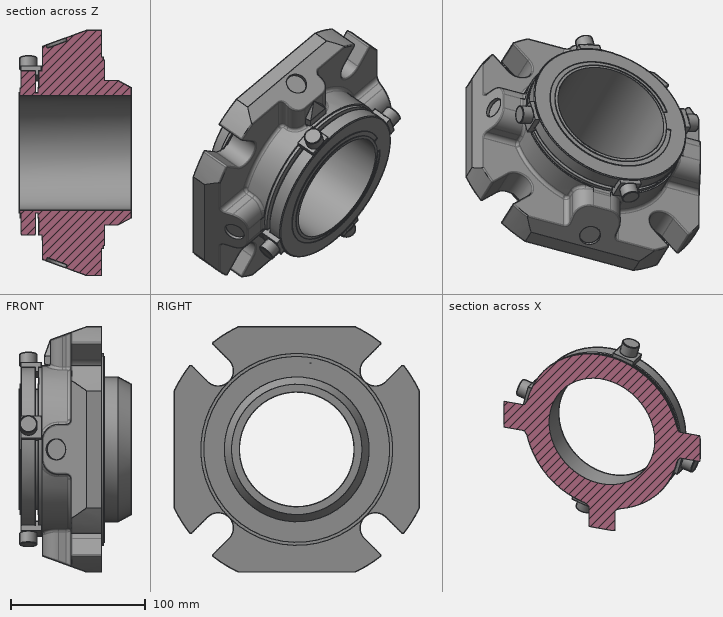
import cadquery as cq
import math


tolerance = 0.05
cut_overrun = 1.0
half_diagonal = math.sqrt(0.5)

total_length = 83.46
flange_size = 182.12
half_flange = flange_size / 2

bore_diameter = 84.99
sleeve_diameter = 89.53
snap_ring_diameter = 96.83
snap_ring_x = 0.6
snap_gap_angle = 20.0

collar_diameter = 122.17
collar_front_x = 1.3
collar_back_x = 12.4
collar_chamfer = 0.7

screw_count = 4
screw_tilt = 15.0
block_width = 17.0
block_inner = 57.5
block_outer = 64.6
block_back_x = 16.6
screw_diameter = 13.0
screw_x = 6.95
screw_end = 73.2
screw_chamfer = 0.5

neck_front_x = 14.0
neck_diameter = snap_ring_diameter
lip_front_x = 14.6
lip_diameter = collar_diameter
gland_front_x = 17.0
gland_diameter = 124.6
gland_root_radius = 2.4

flange_front_x = 38.5
flange_back_x = 61.4
flange_turned_diameter = 201.8
taper_start_x = 50.0
taper_angle = 20.0
slot_circle_diameter = 165.0
slot_width = 22.4
slot_tip_min_offset = 60.0
slot_angles = (45, 135, 225, 315)
slot_tip_radius = 1.1

boss_half_width = 18.6
boss_root_radius = 3.5
boss_front_x = 17.4
boss_corner_radius = 11.8
marked_boss_front_x = 23.2
marked_boss_corner_radius = 9.0
boss_inner = 50.0
side_boss_angles = (90, 180, 270)
rim_radius = 0.9
toe_start_radius = 63.7
toe_end_radius = 65.3

port_diameter = 15.5
port_depth = 2.5
side_port_x = 27.4
vertical_port_x = 40.5
ports = ((vertical_port_x, 0), (side_port_x, 90), (vertical_port_x, 180), (side_port_x, 270))

pointer_half_width = 9.3
pointer_base_z = 62.3
pointer_shoulder_z = 69.4
pointer_tip_z = 81.2
pointer_front_x = 18.8
pointer_draft = 12.0

register_diameter = 142.52
register_back_x = 62.7
gasket_diameter = 138.0
gasket_back_x = 63.6
spigot_diameter = 107.57
spigot_taper_x = 73.5
spigot_end_diameter = snap_ring_diameter


def disc(diameter, start_x, end_x):
    """Cylinder about the X axis."""
    return cq.Workplane("YZ").workplane(offset=start_x).circle(diameter / 2).extrude(end_x - start_x)


def turn(solid, angle):
    """Rotate about the X axis; a positive angle carries +Z towards -Y."""
    return solid.rotate((0, 0, 0), (1, 0, 0), angle)


def taper_height(x):
    """Distance of a tapered side face from the axis at the given X."""
    return half_flange - (taper_start_x - x) * math.tan(math.radians(taper_angle))


def envelope():
    """Square block with tapered sides, turned down at its corners."""
    front = taper_height(0)
    side = (
        cq.Workplane("XZ")
        .polyline([
            (0, -front), (taper_start_x, -half_flange), (flange_back_x, -half_flange),
            (flange_back_x, half_flange), (taper_start_x, half_flange), (0, front),
        ])
        .close()
        .extrude(half_flange, both=True)
    )
    turned = disc(flange_turned_diameter, 0, flange_back_x)
    return side.intersect(turn(side, 90)).intersect(turned)


def boss(front_x, corner_radius):
    """Boss standing on +Z with rounded front corners and filleted roots."""
    corner_x = front_x + corner_radius
    flat = boss_half_width - corner_radius
    corner_mid = (corner_x - corner_radius * half_diagonal, flat + corner_radius * half_diagonal)
    root_x = flange_front_x - boss_root_radius
    root_y = boss_half_width + boss_root_radius
    root_mid = (root_x + boss_root_radius * half_diagonal, root_y - boss_root_radius * half_diagonal)
    return (
        cq.Workplane("XY")
        .workplane(offset=boss_inner)
        .moveTo(front_x, -flat)
        .lineTo(front_x, flat)
        .threePointArc(corner_mid, (corner_x, boss_half_width))
        .lineTo(root_x, boss_half_width)
        .threePointArc(root_mid, (flange_front_x, root_y))
        .lineTo(taper_start_x, root_y)
        .lineTo(taper_start_x, -root_y)
        .lineTo(flange_front_x, -root_y)
        .threePointArc((root_mid[0], -root_mid[1]), (root_x, -boss_half_width))
        .lineTo(corner_x, -boss_half_width)
        .threePointArc((corner_mid[0], -corner_mid[1]), (front_x, -flat))
        .close()
        .extrude(half_flange - boss_inner)
    )


def slot_cutter(angle):
    """Open bolt slot running outwards on a diagonal."""
    centre = slot_circle_diameter / 2
    length = flange_turned_diameter / 2
    round_end = (
        cq.Workplane("YZ").workplane(offset=flange_front_x - cut_overrun)
        .center(0, centre).circle(slot_width / 2).extrude(flange_back_x)
    )
    straight = (
        cq.Workplane("YZ").workplane(offset=flange_front_x - cut_overrun)
        .center(0, centre + length / 2).rect(slot_width, length).extrude(flange_back_x)
    )
    return turn(round_end.union(straight), angle)


def is_slot_tip(edge):
    """True for the sharp corners where the slots run out of the flange rim."""
    centre = edge.Center()
    return min(abs(centre.y), abs(centre.z)) > slot_tip_min_offset


def is_front_rim(edge):
    """True for the outer edges of the bosses and of the flange front face."""
    centre = edge.Center()
    near = min(abs(centre.y), abs(centre.z))
    far = max(abs(centre.y), abs(centre.z))
    on_taper = abs(far - taper_height(centre.x)) < tolerance
    on_front = abs(centre.x - flange_front_x) < tolerance
    beside_boss = near < boss_half_width + boss_root_radius + tolerance
    return (on_taper and centre.x < flange_front_x) or (on_front and not beside_boss)


def flange():
    """Slotted flange with its four bosses, edges rounded."""
    plate_diameter = 2 * flange_size
    body = disc(plate_diameter, flange_front_x, flange_back_x)
    body = body.union(boss(marked_boss_front_x, marked_boss_corner_radius))
    for angle in side_boss_angles:
        body = body.union(turn(boss(boss_front_x, boss_corner_radius), angle))
    body = body.intersect(envelope())
    for angle in slot_angles:
        body = body.cut(slot_cutter(angle))
    tips = [edge for edge in body.edges("|X").vals() if is_slot_tip(edge)]
    body = body.newObject(tips).fillet(slot_tip_radius)
    rim = [edge for edge in body.edges().vals() if is_front_rim(edge)]
    return body.newObject(rim).fillet(rim_radius)


def port(x, angle):
    """Shallow round port square to a tapered face."""
    slope = math.radians(taper_angle)
    plane = cq.Plane(
        origin=(x, 0, taper_height(x)), xDir=(0, 1, 0), normal=(-math.sin(slope), 0, math.cos(slope))
    )
    cutter = cq.Workplane(plane).circle(port_diameter / 2).extrude(port_depth, both=True)
    return turn(cutter, angle)


def is_gland_root(edge):
    """True where the gland barrel meets the boss walls and the flange face."""
    start, end = edge.startPoint(), edge.endPoint()
    on_barrel = all(
        abs(math.hypot(point.y, point.z) - gland_diameter / 2) < tolerance for point in (start, end)
    )
    return on_barrel and abs(edge.Center().x - flange_front_x) < tolerance


def gland_and_flange():
    """Flange with the gland barrel blended into the bosses and the flange face."""
    body = flange().union(disc(gland_diameter, gland_front_x, taper_start_x))
    roots = [edge for edge in body.edges("%CIRCLE").vals() if is_gland_root(edge)]
    return body.newObject(roots).fillet(gland_root_radius)


def boss_toe(angle):
    """Small ramp from the gland face up to the flat front of a boss."""
    ramp = (
        cq.Workplane("XZ")
        .polyline([
            (gland_front_x, boss_inner), (gland_front_x, toe_start_radius),
            (boss_front_x, toe_end_radius), (flange_front_x, toe_end_radius),
            (flange_front_x, boss_inner),
        ])
        .close()
        .extrude(boss_half_width - boss_corner_radius, both=True)
    )
    return turn(ramp, angle)


def pointer():
    """House-shaped drafted pointer whose upper face leans back to the boss."""
    house = (
        cq.Workplane("YZ").workplane(offset=marked_boss_front_x)
        .polyline([
            (-pointer_half_width, pointer_base_z), (-pointer_half_width, pointer_shoulder_z),
            (0, pointer_tip_z), (pointer_half_width, pointer_shoulder_z),
            (pointer_half_width, pointer_base_z),
        ])
        .close()
        .extrude(pointer_front_x - marked_boss_front_x, taper=pointer_draft)
    )
    lean = (
        cq.Workplane("XZ")
        .polyline([
            (pointer_front_x, pointer_shoulder_z), (pointer_front_x, pointer_tip_z),
            (marked_boss_front_x, pointer_tip_z),
        ])
        .close()
        .extrude(pointer_half_width, both=True)
    )
    return house.cut(lean)


def snap_ring():
    """Flat split ring on the sleeve in front of the collar."""
    ring = disc(snap_ring_diameter, snap_ring_x, collar_back_x)
    reach = snap_ring_diameter
    slope = math.radians(snap_gap_angle)
    gap = (
        cq.Workplane("YZ").workplane(offset=snap_ring_x)
        .polyline([(0, 0), (-reach, 0), (-reach * math.cos(slope), reach * math.sin(slope))])
        .close()
        .extrude(collar_front_x - snap_ring_x)
    )
    return ring.cut(gap)


def collar():
    """Drive collar with both rims chamfered, and its snap ring."""
    ring = disc(collar_diameter, collar_front_x, collar_back_x)
    ring = ring.edges().chamfer(collar_chamfer)
    return ring.union(snap_ring())


def set_screw(angle):
    """Block clamping the collar to the gland lip, with its screw head."""
    block = (
        cq.Workplane("XY").workplane(offset=block_inner)
        .center((collar_front_x + block_back_x) / 2, 0)
        .rect(block_back_x - collar_front_x, block_width)
        .extrude(block_outer - block_inner)
        .cut(disc(collar_diameter, 0, collar_back_x))
    )
    head = (
        cq.Workplane("XY").workplane(offset=block_outer)
        .center(screw_x, 0).circle(screw_diameter / 2).extrude(screw_end - block_outer)
        .faces(">Z").chamfer(screw_chamfer)
    )
    return turn(block.union(head), angle)


def spigot():
    """Tapered rear end of the sleeve."""
    body = disc(spigot_diameter, taper_start_x, total_length)
    return body.faces(">X").chamfer(
        total_length - spigot_taper_x, (spigot_diameter - spigot_end_diameter) / 2
    )


result = gland_and_flange()
for port_x, port_angle in ports:
    result = result.cut(port(port_x, port_angle))

result = (
    result
    .union(pointer())
    .union(disc(sleeve_diameter, 0, taper_start_x))
    .union(disc(neck_diameter, neck_front_x, taper_start_x))
    .union(disc(lip_diameter, lip_front_x, taper_start_x))
    .union(collar())
    .union(disc(register_diameter, flange_back_x, register_back_x))
    .union(disc(gasket_diameter, flange_back_x, gasket_back_x))
    .union(spigot())
)
for toe_angle in side_boss_angles:
    result = result.union(boss_toe(toe_angle))
for index in range(screw_count):
    result = result.union(set_screw(index * 360 / screw_count - screw_tilt))

result = result.cut(disc(bore_diameter, -cut_overrun, total_length + cut_overrun))